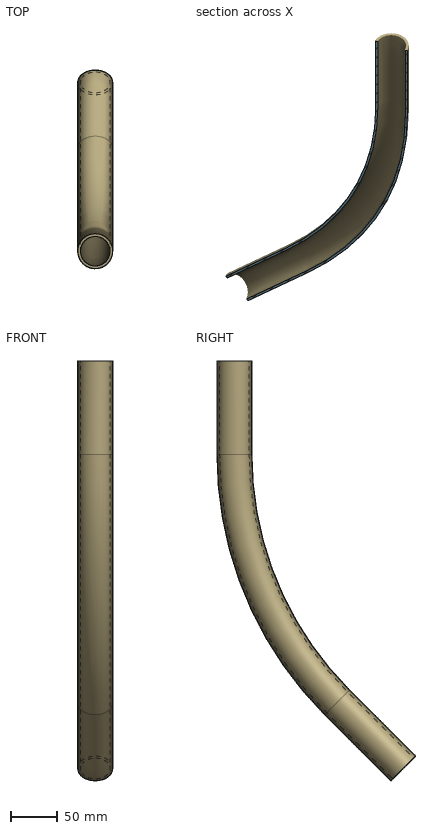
import cadquery as cq
import math

outer_diameter = 38.1
inner_diameter = 32.0
leg_length = 101.6
bend_radius = 381.0
bend_angle = 45.0


def bend_point(angle):
    """Centreline (Y, Z) after turning by angle degrees; the bend starts at the origin."""
    turn = math.radians(angle)
    return (bend_radius * (1 - math.cos(turn)), -bend_radius * math.sin(turn))


def centreline():
    """Vertical upper leg, tangent arc, then the lower leg sloping down toward +Y."""
    bend_end_y, bend_end_z = bend_point(bend_angle)
    slope = math.radians(bend_angle)
    lower_end = (
        bend_end_y + leg_length * math.sin(slope),
        bend_end_z - leg_length * math.cos(slope),
    )
    return (
        cq.Workplane("YZ")
        .moveTo(0, leg_length)
        .lineTo(0, 0)
        .threePointArc(bend_point(bend_angle / 2), (bend_end_y, bend_end_z))
        .lineTo(*lower_end)
    )


def tube():
    """Annular section swept from the top end along the centreline."""
    return (
        cq.Workplane("XY", origin=(0, 0, leg_length))
        .circle(outer_diameter / 2)
        .circle(inner_diameter / 2)
        .sweep(centreline())
    )


result = tube()